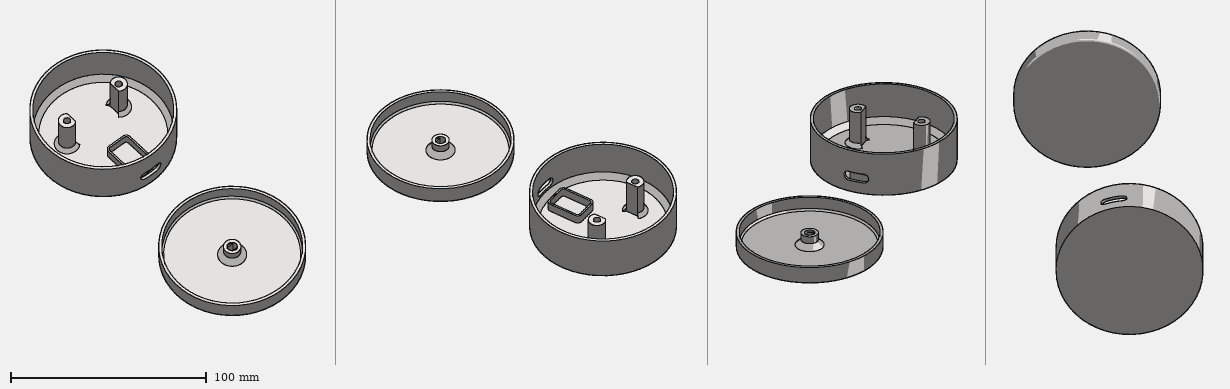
import cadquery as cq
import math

overall_length = 175
outer_diameter = 75.0
wall = 1.5
floor_thickness = 2.0
body_spacing = overall_length - outer_diameter
outer_radius = outer_diameter / 2
inner_radius = outer_radius - wall
post_diameter = 9.0
post_radius = post_diameter / 2

housing_height = 24.0
housing_floor_chamfer = 3.0

screw_post_x = -8.0
screw_post_y = 17.5
screw_post_height = 20.0
screw_post_flat = 3.0
screw_post_foot = 2.1
screw_hole_diameter = 3.7

frame_length = 20.1
frame_width = 14.5
frame_wall = 1.0
frame_height = 4.9
frame_center_x = 20.0
frame_corner_radius = 2.5

slot_width = 13.5
slot_height = 5.0
slot_center_z = 9.0

lid_height = 9.5
lid_floor_chamfer = 1.0
lid_bottom_fillet = 1.0
hub_height = 7
hub_foot = 3.0
socket_diameter = 5.2
socket_flat_width = 3.3
socket_round_depth = 1.0


def make_cup(height, floor_chamfer):
    """Round open cup, chamfered inside where the wall meets the floor."""
    cavity = (
        cq.Workplane("XY", origin=(0, 0, floor_thickness))
        .circle(inner_radius)
        .extrude(height - floor_thickness)
        .faces("<Z")
        .chamfer(floor_chamfer)
    )
    return cq.Workplane("XY").circle(outer_radius).extrude(height).cut(cavity)


def make_foot(size, sweep):
    """Conical skirt around a post, starting at the +X axis and swept about Z."""
    return (
        cq.Workplane("XZ")
        .polyline([(0, 0), (post_radius + size, 0), (post_radius, size), (0, size)])
        .close()
        .revolve(sweep, (0, 0), (0, 1))
    )


def make_screw_post():
    """Post standing at the origin with its flat facing -Y and a screw hole down to the floor."""
    flat_angle = math.degrees(math.asin(screw_post_flat / post_radius))
    foot_sweep = 180 + 2 * flat_angle
    foot = make_foot(screw_post_foot, foot_sweep).rotate((0, 0, 0), (0, 0, 1), -flat_angle)
    column = cq.Workplane("XY").circle(post_radius).extrude(screw_post_height)
    flat_cutter = (
        cq.Workplane("XY")
        .center(0, -screw_post_flat - post_radius)
        .rect(post_diameter, post_diameter)
        .extrude(screw_post_height)
    )
    hole = cq.Workplane("XY").circle(screw_hole_diameter / 2).extrude(screw_post_height)
    return column.cut(flat_cutter).union(foot).cut(hole)


def make_frame():
    """Low rectangular wall with rounded corners."""
    outside = (
        cq.Workplane("XY")
        .rect(frame_length, frame_width)
        .extrude(frame_height)
        .edges("|Z")
        .fillet(frame_corner_radius)
    )
    inside = (
        cq.Workplane("XY")
        .rect(frame_length - 2 * frame_wall, frame_width - 2 * frame_wall)
        .extrude(frame_height)
        .edges("|Z")
        .fillet(frame_corner_radius - frame_wall)
    )
    return outside.cut(inside)


def make_housing():
    housing = make_cup(housing_height, housing_floor_chamfer)

    post = make_screw_post().translate((screw_post_x, screw_post_y, floor_thickness))
    for screw_post in (post, post.mirror("XZ")):
        housing = housing.union(screw_post)

    housing = housing.union(make_frame().translate((frame_center_x, 0, floor_thickness)))

    slot = (
        cq.Workplane("YZ", origin=(inner_radius - wall, 0, slot_center_z))
        .slot2D(slot_width, slot_height)
        .extrude(3 * wall)
    )
    return housing.cut(slot)


def make_socket():
    """Shaft socket, round at the mouth and narrowed by two flats below it."""
    flatted = (
        cq.Workplane("XY")
        .circle(socket_diameter / 2)
        .extrude(hub_height)
        .intersect(cq.Workplane("XY").box(socket_flat_width, socket_diameter, 2 * hub_height))
    )
    mouth = (
        cq.Workplane("XY", origin=(0, 0, hub_height - socket_round_depth))
        .circle(socket_diameter / 2)
        .extrude(socket_round_depth)
    )
    return flatted.union(mouth)


def make_lid():
    cup = make_cup(lid_height, lid_floor_chamfer)
    cup = cup.faces("<Z").edges().fillet(lid_bottom_fillet)
    hub = cq.Workplane("XY").circle(post_radius).extrude(hub_height)
    hub = hub.union(make_foot(hub_foot, 360)).cut(make_socket())
    return cup.union(hub.translate((0, 0, floor_thickness)))


housing = make_housing()
lid = make_lid().translate((body_spacing, 0, 0))

result = cq.Compound.makeCompound([housing.val(), lid.val()])